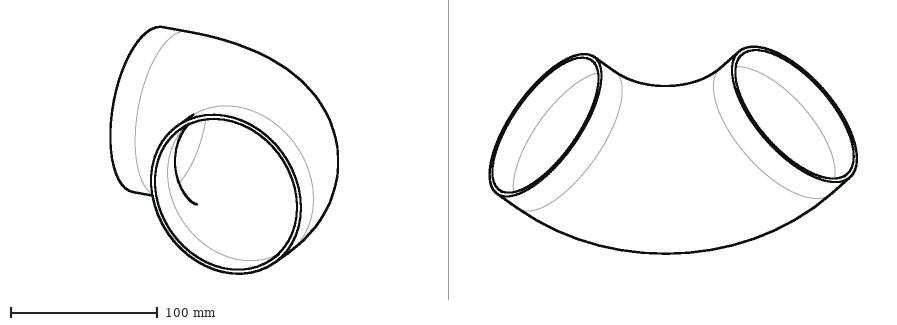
import cadquery as cq

outer_diameter = 114.3
wall = 3.0
center_to_end = 120.0
collar_length = 19.0

inner_diameter = outer_diameter - 2 * wall
bend_radius = center_to_end - collar_length


def elbow_body(diameter):
    """Solid elbow of the given diameter, with the bend centre at the origin."""
    radius = diameter / 2

    bend = (
        cq.Workplane("XZ")
        .center(bend_radius, 0)
        .circle(radius)
        .revolve(90, (-bend_radius, 0, 0), (-bend_radius, 1, 0))
    )

    y_collar = (
        cq.Workplane("XZ")
        .center(bend_radius, 0)
        .circle(radius)
        .extrude(collar_length)
    )

    x_collar = (
        cq.Workplane("YZ")
        .center(bend_radius, 0)
        .circle(radius)
        .extrude(-collar_length)
    )
    return bend.union(y_collar).union(x_collar)


result = elbow_body(outer_diameter).cut(elbow_body(inner_diameter))